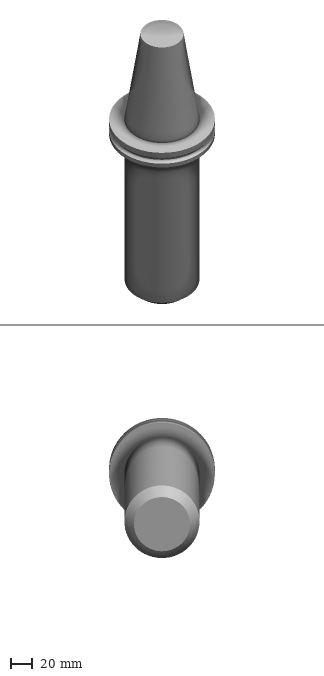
import cadquery as cq

total_length = 304.8
taper_length = 101.5
neck_length = 1.5
flange_thickness = 17.7
nose_chamfer_height = 8.8

flange_diameter = 98.5
body_diameter = 69.8
taper_small_diameter = 40.2
nose_diameter = 52.0

flange_radius = flange_diameter / 2
body_radius = body_diameter / 2
taper_small_radius = taper_small_diameter / 2
nose_radius = nose_diameter / 2

groove_top_offset = 6.0
groove_width = 7.0
groove_depth = 3.7
groove_floor_width = 3.7

taper_base_z = total_length - taper_length
flange_top_z = taper_base_z - neck_length
flange_bottom_z = flange_top_z - flange_thickness


def revolved(profile):
    """Turn a closed (radius, z) outline around the Z axis."""
    return cq.Workplane("XZ").polyline(profile).close().revolve(360, (0, 0, 0), (0, 1, 0))


def make_body():
    """Straight shank with a conical nose at its lower end."""
    return revolved([
        (0, 0),
        (nose_radius, 0),
        (body_radius, nose_chamfer_height),
        (body_radius, flange_bottom_z),
        (0, flange_bottom_z),
    ])


def make_flange():
    """Disc with a V-like gripper groove around its rim."""
    groove_top_z = flange_top_z - groove_top_offset
    groove_bottom_z = groove_top_z - groove_width
    groove_side = (groove_width - groove_floor_width) / 2
    floor_radius = flange_radius - groove_depth
    return revolved([
        (0, flange_bottom_z),
        (flange_radius, flange_bottom_z),
        (flange_radius, groove_bottom_z),
        (floor_radius, groove_bottom_z + groove_side),
        (floor_radius, groove_top_z - groove_side),
        (flange_radius, groove_top_z),
        (flange_radius, flange_top_z),
        (0, flange_top_z),
    ])


def make_taper():
    """Spindle taper standing on a short straight neck."""
    return revolved([
        (0, flange_top_z),
        (body_radius, flange_top_z),
        (body_radius, taper_base_z),
        (taper_small_radius, total_length),
        (0, total_length),
    ])


result = make_body().union(make_flange()).union(make_taper())